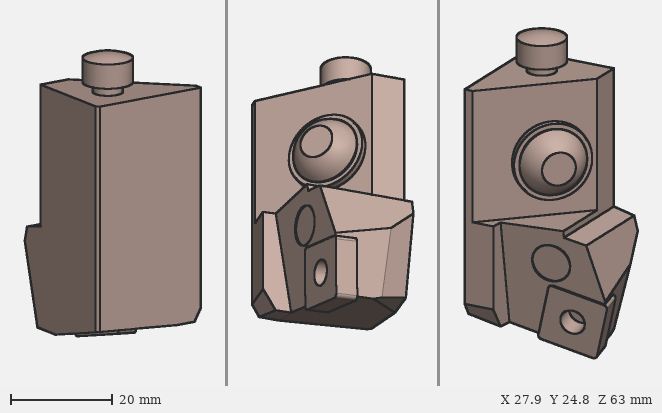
import cadquery as cq
import math


BIG = 189.0

SHANK_WIDTH = 19.85
HOLDER_DEPTH = 24.75
LEDGE_Z = -27.65
EDGE_CHAMFER = 0.6
DIAGONAL_Y = 6.75
DIAGONAL_DEPTH = HOLDER_DEPTH - DIAGONAL_Y

NECK_Z = -29.1
SHOULDER = (-24.45, -30.2)
HEAD_SIDE_ANGLE = 75.5
HEAD_SIDE_LENGTH = 25.2
HEEL_Z = -47.75
BOTTOM_SLOPE = 0.269

SIDE_TOP_FRONT = (-25.2, 0.0, -33.45)
SIDE_TOP_MIDDLE = (-26.5, 5.15, -38.25)
SIDE_TOP_REAR = (-27.5, 17.15, -42.2)
SIDE_BOTTOM_FRONT = (-20.85, 0.0, -50.0)
SIDE_BOTTOM_MIDDLE = (-23.2, 5.9, -52.35)
BOTTOM_BREAK = (-14.5, 0.0, -50.0)
HEEL_FRONT = (0.0, 0.0, -46.1)
HEEL_REAR = (0.0, 19.1, HEEL_Z)

BEVEL_DEPTH = 2.6
BEVEL_TOP_Z = -45.2
BEVEL_BOTTOM_Z = -49.6

RAKE_X_SLOPE = 0.14
RAKE_Z_SLOPE = 0.142
WALL_X = -6.7
WALL_LEAN = 0.2
RAKE_Y = 22.2
RECESS_D = 8.0
RECESS_DEPTH = 0.25
RECESS_X = -16.7
RECESS_Z = -35.2

INSERT_SIDE = 12.65
INSERT_THICKNESS = 4.7
INSERT_PROUD = 0.3
INSERT_CORNER_R = 0.8
INSERT_HOLE_D = 5.15
INSERT_ANGLE = 14.0
INSERT_X = -20.4
INSERT_Z = -47.5

AXIAL_X = -8.0
AXIAL_Y = 8.0
AXIAL_NECK_D = 6.0
AXIAL_NECK_HEIGHT = 2.0
AXIAL_HEAD_D = 10.0
AXIAL_HEAD_TOP = 7.0
AXIAL_CROWN_TOP = 8.0

CLAMP_X = -13.15
CLAMP_Z = -16.0
CLAMP_FLANGE_D = 16.0
CLAMP_FLANGE_HEIGHT = 1.5
CLAMP_DOME_BASE = 1.75
CLAMP_DOME_D = 13.85
CLAMP_DOME_HEIGHT = 5.75
CLAMP_FLAT_D = 6.9


def rake_height(x, z):
    """Y of the rake plane at a given X and Z."""
    return RAKE_Y + RAKE_X_SLOPE * (x - WALL_X) + RAKE_Z_SLOPE * (z - LEDGE_Z)


def rake_plane(x, z, offset=0.0, turn=0.0):
    """Plane on the rake face, raised by offset, with its X axis turned in XZ by turn degrees."""
    normal = cq.Vector(-RAKE_X_SLOPE, 1, -RAKE_Z_SLOPE).normalized()
    run = math.cos(math.radians(turn))
    rise = math.sin(math.radians(turn))
    x_dir = cq.Vector(run, RAKE_X_SLOPE * run + RAKE_Z_SLOPE * rise, rise)
    origin = cq.Vector(x, rake_height(x, z), z) + normal * offset
    return cq.Plane(origin=origin, xDir=x_dir, normal=normal)


def half_space(first, second, third):
    """Large block on the downward side of the plane through three points."""
    start = cq.Vector(*first)
    along = cq.Vector(*second) - start
    normal = along.cross(cq.Vector(*third) - start)
    if normal.z > 0:
        normal = normal * -1
    plane = cq.Plane(origin=start, xDir=along, normal=normal)
    return cq.Workplane(plane).rect(BIG, BIG).extrude(BIG)


def make_blank():
    """Shank and head outline through the full depth, with the 45 degree face cut down to the ledge."""
    side_angle = math.radians(HEAD_SIDE_ANGLE)
    side_end = (
        SHOULDER[0] - HEAD_SIDE_LENGTH * math.cos(side_angle),
        SHOULDER[1] - HEAD_SIDE_LENGTH * math.sin(side_angle),
    )
    bottom_end = (side_end[0], HEEL_Z + BOTTOM_SLOPE * side_end[0])
    outline = [
        (0, 0),
        (-SHANK_WIDTH, 0),
        (-SHANK_WIDTH, NECK_Z),
        SHOULDER,
        side_end,
        bottom_end,
        (0, HEEL_Z),
    ]
    blank = cq.Workplane("XZ").polyline(outline).close().extrude(-HOLDER_DEPTH)
    blank = blank.edges("|Z and >X and <Y").chamfer(EDGE_CHAMFER)
    corner = (
        cq.Workplane("XY")
        .polyline(
            [
                (-SHANK_WIDTH, DIAGONAL_Y),
                (-SHANK_WIDTH + DIAGONAL_DEPTH, HOLDER_DEPTH),
                (-SHANK_WIDTH, HOLDER_DEPTH),
            ]
        )
        .close()
        .extrude(LEDGE_Z)
    )
    return blank.cut(corner)


def cut_clearances(body):
    """Relieve the side and the bottom of the head, and bevel the lower rear edge."""
    faces = [
        (SIDE_TOP_FRONT, SIDE_TOP_MIDDLE, SIDE_BOTTOM_FRONT),
        (SIDE_TOP_MIDDLE, SIDE_TOP_REAR, SIDE_BOTTOM_MIDDLE),
        (SIDE_BOTTOM_FRONT, BOTTOM_BREAK, SIDE_BOTTOM_MIDDLE),
        (HEEL_FRONT, BOTTOM_BREAK, HEEL_REAR),
    ]
    for face in faces:
        body = body.cut(half_space(*face))
    bevel = (
        cq.Workplane("YZ")
        .polyline(
            [
                (HOLDER_DEPTH, BEVEL_TOP_Z),
                (HOLDER_DEPTH - BEVEL_DEPTH, BEVEL_BOTTOM_Z),
                (HOLDER_DEPTH, BEVEL_BOTTOM_Z),
            ]
        )
        .close()
        .extrude(-BIG)
    )
    return body.cut(bevel)


def make_flute():
    """Space above the rake plane, in front of the leaning wall."""
    above_rake = cq.Workplane(rake_plane(WALL_X, LEDGE_Z)).rect(BIG, BIG).extrude(BIG)
    wall_slope = WALL_LEAN / (HOLDER_DEPTH - RAKE_Y)
    wall_foot = (WALL_X - wall_slope * RAKE_Y, 0)
    wall_top = (WALL_X + WALL_LEAN, HOLDER_DEPTH)
    before_wall = (
        cq.Workplane("XY")
        .polyline([(-BIG, 0), wall_foot, wall_top, (-BIG, HOLDER_DEPTH)])
        .close()
        .extrude(-BIG)
    )
    return before_wall.intersect(above_rake)


def make_recess():
    """Shallow round recess in the rake face."""
    return cq.Workplane(rake_plane(RECESS_X, RECESS_Z)).circle(RECESS_D / 2).extrude(-RECESS_DEPTH)


def make_insert_block():
    """Square insert with rounded corners, without its hole."""
    return (
        cq.Workplane(rake_plane(INSERT_X, INSERT_Z, INSERT_PROUD, INSERT_ANGLE))
        .rect(INSERT_SIDE, INSERT_SIDE)
        .extrude(-INSERT_THICKNESS)
        .edges(cq.selectors.ParallelDirSelector(rake_plane(INSERT_X, INSERT_Z).zDir))
        .fillet(INSERT_CORNER_R)
    )


def make_insert():
    """Cutting insert with its through hole."""
    plane = rake_plane(INSERT_X, INSERT_Z, INSERT_PROUD)
    hole = cq.Workplane(plane).circle(INSERT_HOLE_D / 2).extrude(-INSERT_THICKNESS)
    return make_insert_block().cut(hole)


def make_axial_screw():
    """Screw above the shank: neck, head and low crown, revolved about a vertical axis."""
    neck_r = AXIAL_NECK_D / 2
    head_r = AXIAL_HEAD_D / 2
    rise = AXIAL_CROWN_TOP - AXIAL_HEAD_TOP
    crown_r = (head_r**2 + rise**2) / (2 * rise)
    mid_r = head_r / 2
    mid_z = AXIAL_CROWN_TOP - crown_r + math.sqrt(crown_r**2 - mid_r**2)
    axis_plane = cq.Plane(origin=(AXIAL_X, AXIAL_Y, 0), xDir=(1, 0, 0), normal=(0, -1, 0))
    return (
        cq.Workplane(axis_plane)
        .lineTo(neck_r, 0)
        .lineTo(neck_r, AXIAL_NECK_HEIGHT)
        .lineTo(head_r, AXIAL_NECK_HEIGHT)
        .lineTo(head_r, AXIAL_HEAD_TOP)
        .threePointArc((mid_r, mid_z), (0, AXIAL_CROWN_TOP))
        .close()
        .revolve(360, (0, 0, 0), (0, 1, 0))
    )


def make_clamp_screw():
    """Flange and flat-topped dome standing on the 45 degree face."""
    clamp_y = DIAGONAL_Y + CLAMP_X + SHANK_WIDTH
    flange_r = CLAMP_FLANGE_D / 2
    dome_r = CLAMP_DOME_D / 2
    flat_r = CLAMP_FLAT_D / 2
    centre = (CLAMP_DOME_HEIGHT**2 + flat_r**2 - CLAMP_DOME_BASE**2 - dome_r**2) / (
        2 * (CLAMP_DOME_HEIGHT - CLAMP_DOME_BASE)
    )
    sphere_r = math.hypot(dome_r, CLAMP_DOME_BASE - centre)
    middle = sphere_r * math.sqrt(0.5)
    axis_plane = cq.Plane(origin=(CLAMP_X, clamp_y, CLAMP_Z), xDir=(0, 0, 1), normal=(-1, -1, 0))
    return (
        cq.Workplane(axis_plane)
        .lineTo(flange_r, 0)
        .lineTo(flange_r, CLAMP_FLANGE_HEIGHT)
        .lineTo(dome_r, CLAMP_FLANGE_HEIGHT)
        .lineTo(dome_r, CLAMP_DOME_BASE)
        .threePointArc((middle, centre + middle), (flat_r, CLAMP_DOME_HEIGHT))
        .lineTo(0, CLAMP_DOME_HEIGHT)
        .close()
        .revolve(360, (0, 0, 0), (0, 1, 0))
    )


def make_holder():
    """Holder with its flute, insert seat and both screws in one solid."""
    body = cut_clearances(make_blank())
    body = body.cut(make_flute()).cut(make_recess()).cut(make_insert_block())
    return body.union(make_axial_screw()).union(make_clamp_screw())


holder = make_holder()
insert = make_insert()

result = cq.Compound.makeCompound([holder.solids().val(), insert.solids().val()])